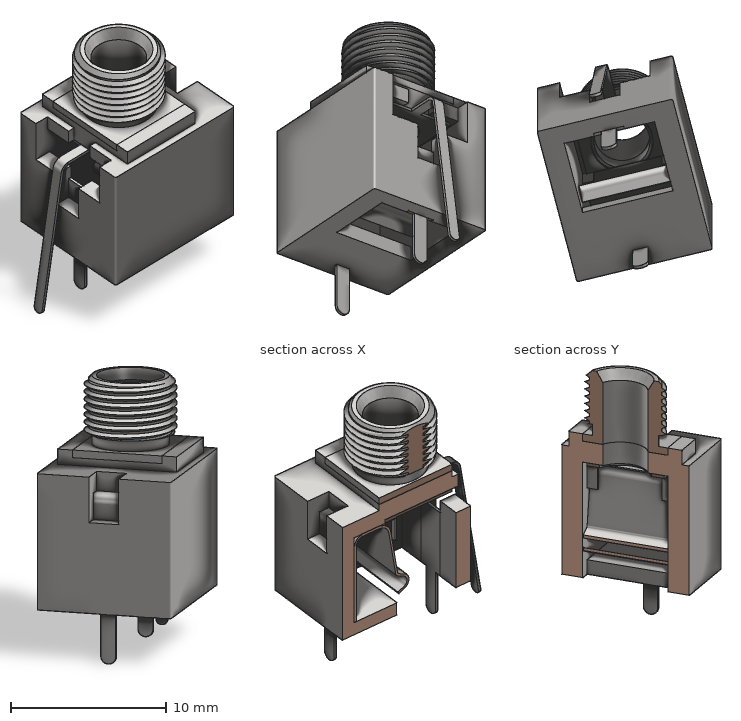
import cadquery as cq
import math


TOTAL_HEIGHT = 18.0

BOX_WIDTH = 9.0
BOX_HEIGHT = 9.0
BOX_FRONT = -4.5
BOX_BACK = 6.0
BOX_EDGE_FILLET = 0.15
FLANGE_WIDTH = 8.0
FLANGE_DEPTH = 6.0
FLANGE_HEIGHT = 1.0
ROOF_THICKNESS = 0.99
FLOOR_THICKNESS = 1.0
FLANGE_FRONT = -FLANGE_DEPTH / 2

BORE_DIAMETER = 3.6
BORE_LIP_WIDTH = 0.4
BORE_LIP_DEPTH = 0.72
PLATE_WIDTH = 6.0
PLATE_THICKNESS = 0.5
NECK_DIAMETER = 5.0
CORE_DIAMETER = 5.4
THREAD_DIAMETER = 6.0
THREAD_PITCH = 0.5
THREAD_BASE_WIDTH = 0.35
THREAD_START_ANGLE = -103.0
THREAD_ROOT_SINK = 0.04
THREAD_OVERRUN = 3 * THREAD_PITCH
THREAD_BOTTOM = 1.75
BUSHING_TOP = 5.5
ENVELOPE_CLEARANCE = 0.09
ENVELOPE_DIAMETER = THREAD_DIAMETER + 2 * ENVELOPE_CLEARANCE
TOP_CHAMFER = (ENVELOPE_DIAMETER - NECK_DIAMETER) / 2

SHEET = 0.2
PIN_WIDTH = 1.0
PIN_TIP = BUSHING_TOP - TOTAL_HEIGHT
LUG_WIDTH = 0.75
LUG_TIP_RADIUS = 0.36
LUG_HOLE_DIAMETER = 4.0
LUG_PLATE_WIDTH = 5.47
LUG_PLATE_BACK = 2.5
LUG_BEND_Y = -4.75
LUG_BEND_RADIUS = 0.7
LUG_BEND_ANGLE = 81.0
SPRING_WIDTH = 5.94
SPRING_TOP = -1.28
SPRING_BACK = 5.0
SPRING_BACK_RADIUS = 0.67
SPRING_FRONT_RADIUS = 1.0
SPRING_FLAT_LENGTH = 1.33
SPRING_DROP_ANGLE = 81.0
SPRING_DROP_LENGTH = 3.5
SPRING_KNEE_RADIUS = 0.36
SPRING_RAMP_ANGLE = 26.0
SPRING_RAMP_LENGTH = 0.49
SPRING_NOSE_RADIUS = 0.54
SPRING_TAIL_LENGTH = 0.54
SWITCH_TOP = -3.96

POCKET_WIDTH = PLATE_WIDTH
POCKET_DEPTH = 1.0
POCKET_BOTTOM = -3.0
SLOT_WIDTH = 2.0
SLOT_BOTTOM = -5.5
POCKET_BACK = BOX_FRONT + POCKET_DEPTH
CAVITY_FRONT = POCKET_BACK + SHEET
CAVITY_BACK = 1.53
WINDOW_WIDTH = 4.54
JAMB_THICKNESS = 0.18
CHAMBER_FRONT = CAVITY_BACK + JAMB_THICKNESS
NOTCH_FRONT = 4.25
FLOOR_TOP = FLOOR_THICKNESS - BOX_HEIGHT


def block(width, y_range, z_range):
    """Box centred on X = 0 between the given Y and Z limits."""
    y_low, y_high = y_range
    z_low, z_high = z_range
    size = (width, y_high - y_low, z_high - z_low)
    return cq.Workplane("XY").box(*size, centered=(True, False, False)).translate((0, y_low, z_low))


def rod(diameter, z_low, z_high):
    """Cylinder on the bore axis between two heights."""
    return cq.Workplane("XY", origin=(0, 0, z_low)).circle(diameter / 2).extrude(z_high - z_low)


def bent_path(start, heading, moves):
    """Path in the YZ plane made of tangent lines and arcs.

    heading is in degrees from +Y toward +Z. A move is (length,) for a straight run, or
    (radius, turn) for an arc, where a positive turn is from +Y toward +Z.
    """
    y, z = start
    edges = []
    for move in moves:
        before = cq.Vector(0, y, z)
        angle = math.radians(heading)
        if len(move) == 1:
            y += move[0] * math.cos(angle)
            z += move[0] * math.sin(angle)
            edges.append(cq.Edge.makeLine(before, cq.Vector(0, y, z)))
        else:
            radius, turn = move
            side = math.copysign(radius, turn)
            centre_y = y - side * math.sin(angle)
            centre_z = z + side * math.cos(angle)
            points = []
            for share in (0.5, 1.0):
                turned = angle + math.radians(turn * share)
                point_y = centre_y + side * math.sin(turned)
                point_z = centre_z - side * math.cos(turned)
                points.append(cq.Vector(0, point_y, point_z))
            edges.append(cq.Edge.makeThreePointArc(before, *points))
            y, z = points[1].y, points[1].z
            heading += turn
    return cq.Wire.assembleEdges(edges)


def bent_strip(width, start, heading, path):
    """Sheet strip of the given width swept along a path in the YZ plane."""
    angle = math.radians(heading)
    plane = cq.Plane(origin=(0, *start), xDir=(1, 0, 0), normal=(0, math.cos(angle), math.sin(angle)))
    return cq.Workplane(plane).rect(width, SHEET).sweep(cq.Workplane(path))


def solder_pin(y_front, z_top):
    """Flat upright pin with a round lower tip; its front face is at y_front."""
    radius = PIN_WIDTH / 2
    shoulder = PIN_TIP + radius
    return (
        cq.Workplane("XZ", origin=(0, y_front, 0))
        .moveTo(-radius, z_top)
        .lineTo(-radius, shoulder)
        .threePointArc((0, PIN_TIP), (radius, shoulder))
        .lineTo(radius, z_top)
        .close()
        .extrude(-SHEET)
    )


def make_housing():
    body = block(BOX_WIDTH, (BOX_FRONT, BOX_BACK), (-BOX_HEIGHT, 0)).edges("|Z").fillet(BOX_EDGE_FILLET)

    flange_depth = (FLANGE_FRONT, -FLANGE_FRONT)
    body = body.union(block(FLANGE_WIDTH, flange_depth, (0, FLANGE_HEIGHT)))
    body = body.cut(block(PLATE_WIDTH, flange_depth, (FLANGE_HEIGHT - PLATE_THICKNESS, FLANGE_HEIGHT)))
    body = body.cut(rod(BORE_DIAMETER, -ROOF_THICKNESS, FLANGE_HEIGHT))

    body = body.cut(block(POCKET_WIDTH, (BOX_FRONT, POCKET_BACK), (POCKET_BOTTOM, 0)))
    body = body.cut(block(SLOT_WIDTH, (BOX_FRONT, POCKET_BACK), (SLOT_BOTTOM, 0)))
    body = body.cut(block(SLOT_WIDTH, (POCKET_BACK, FLANGE_FRONT), (-ROOF_THICKNESS, 0)))

    body = body.cut(block(POCKET_WIDTH, (CAVITY_FRONT, CAVITY_BACK), (-BOX_HEIGHT, -ROOF_THICKNESS)))
    body = body.cut(block(POCKET_WIDTH, (POCKET_BACK, CAVITY_FRONT), (POCKET_BOTTOM, -ROOF_THICKNESS)))
    body = body.cut(block(SLOT_WIDTH, (POCKET_BACK, CAVITY_FRONT), (-BOX_HEIGHT, POCKET_BOTTOM)))

    body = body.cut(block(POCKET_WIDTH, (CHAMBER_FRONT, SPRING_BACK), (FLOOR_TOP, SPRING_TOP)))
    body = body.cut(block(WINDOW_WIDTH, (CAVITY_BACK, CHAMBER_FRONT), (POCKET_BOTTOM, SPRING_TOP)))
    body = body.cut(block(POCKET_WIDTH, (CAVITY_BACK, CHAMBER_FRONT), (FLOOR_TOP, POCKET_BOTTOM)))
    body = body.cut(block(PIN_WIDTH, (SPRING_BACK - SHEET, SPRING_BACK), (-BOX_HEIGHT, FLOOR_TOP)))
    body = body.cut(block(SLOT_WIDTH, (NOTCH_FRONT, BOX_BACK), (POCKET_BOTTOM, 0)))

    lug_seat = (-ROOF_THICKNESS - SHEET, -ROOF_THICKNESS)
    return body.cut(block(LUG_PLATE_WIDTH, (FLANGE_FRONT, LUG_PLATE_BACK), lug_seat))


def make_thread_ridge():
    """Helical ridge, running past the threaded length at both ends."""
    start = THREAD_BOTTOM - THREAD_PITCH
    length = BUSHING_TOP - THREAD_BOTTOM + 2 * THREAD_PITCH
    root_radius = CORE_DIAMETER / 2
    depth = THREAD_DIAMETER / 2 - root_radius
    half_base = THREAD_BASE_WIDTH / 2
    sunk_half_base = half_base * (1 + THREAD_ROOT_SINK / depth)
    path = cq.Wire.makeHelix(THREAD_PITCH, length, root_radius, center=cq.Vector(0, 0, start))
    profile = (
        cq.Workplane("XZ")
        .moveTo(root_radius - THREAD_ROOT_SINK, start - sunk_half_base)
        .lineTo(root_radius + depth, start)
        .lineTo(root_radius - THREAD_ROOT_SINK, start + sunk_half_base)
        .close()
    )
    ridge = profile.sweep(cq.Workplane(path), isFrenet=True)
    return ridge.rotate((0, 0, 0), (0, 0, 1), THREAD_START_ANGLE)


def make_bushing():
    envelope = rod(ENVELOPE_DIAMETER, THREAD_BOTTOM, BUSHING_TOP).faces(">Z").chamfer(TOP_CHAMFER)
    core = rod(CORE_DIAMETER, THREAD_BOTTOM - THREAD_OVERRUN, BUSHING_TOP + THREAD_OVERRUN)
    body = core.union(make_thread_ridge()).intersect(envelope)

    body = body.union(rod(NECK_DIAMETER, FLANGE_HEIGHT, THREAD_BOTTOM))
    plate_depth = (FLANGE_FRONT, -FLANGE_FRONT)
    body = body.union(block(PLATE_WIDTH, plate_depth, (FLANGE_HEIGHT - PLATE_THICKNESS, FLANGE_HEIGHT)))

    bore_radius = BORE_DIAMETER / 2
    body = body.cut(rod(BORE_DIAMETER, FLANGE_HEIGHT - PLATE_THICKNESS, BUSHING_TOP))
    lip_plane = cq.Workplane("XY", origin=(0, 0, BUSHING_TOP - BORE_LIP_DEPTH))
    lip_top = lip_plane.circle(bore_radius).workplane(offset=BORE_LIP_DEPTH)
    lip = lip_top.circle(bore_radius + BORE_LIP_WIDTH).loft()
    return body.cut(lip)


def make_ground_lug():
    plate_top = -ROOF_THICKNESS
    mid_height = plate_top - SHEET / 2
    plate = block(LUG_PLATE_WIDTH, (FLANGE_FRONT, LUG_PLATE_BACK), (plate_top - SHEET, plate_top))
    plate = plate.cut(rod(LUG_HOLE_DIAMETER, plate_top - SHEET, plate_top))

    bend_radius = LUG_BEND_RADIUS - SHEET / 2
    slope = math.radians(LUG_BEND_ANGLE)
    bend_end = mid_height - bend_radius * (1 - math.cos(slope))
    tail_length = (bend_end - PIN_TIP - SHEET / 2 * math.cos(slope)) / math.sin(slope)
    start = (FLANGE_FRONT, mid_height)
    moves = [(FLANGE_FRONT - LUG_BEND_Y,), (bend_radius, LUG_BEND_ANGLE), (tail_length,)]
    path = bent_path(start, 180, moves)
    tail = bent_strip(LUG_WIDTH, start, 180, path)
    thickness_way = cq.Vector(0, math.sin(slope), -math.cos(slope))
    corners = cq.selectors.ParallelDirSelector(thickness_way)
    tail = tail.faces("<Z").edges(corners).fillet(LUG_TIP_RADIUS)
    return plate.union(tail)


def make_tip_spring():
    half = SHEET / 2
    start = (SPRING_BACK - half, FLOOR_TOP)
    leg_length = SPRING_TOP - SPRING_BACK_RADIUS - FLOOR_TOP
    knee_turn = SPRING_DROP_ANGLE - SPRING_RAMP_ANGLE
    nose_turn = 180 - 2 * SPRING_RAMP_ANGLE
    moves = [
        (leg_length,),
        (SPRING_BACK_RADIUS - half, 90),
        (SPRING_FLAT_LENGTH,),
        (SPRING_FRONT_RADIUS - half, SPRING_DROP_ANGLE),
        (SPRING_DROP_LENGTH,),
        (SPRING_KNEE_RADIUS, -knee_turn),
        (SPRING_RAMP_LENGTH,),
        (SPRING_NOSE_RADIUS, nose_turn),
        (SPRING_TAIL_LENGTH,),
    ]
    path = bent_path(start, 90, moves)
    blade = bent_strip(SPRING_WIDTH, start, 90, path)
    return blade.union(solder_pin(SPRING_BACK - SHEET, FLOOR_TOP))


def make_switch_contact():
    blade = block(SLOT_WIDTH, (POCKET_BACK, CAVITY_FRONT), (-BOX_HEIGHT, SWITCH_TOP))
    return blade.union(solder_pin(POCKET_BACK, -BOX_HEIGHT))


housing = make_housing()
bushing = make_bushing()
ground_lug = make_ground_lug()
tip_spring = make_tip_spring()
switch_contact = make_switch_contact()

bodies = [housing, bushing, ground_lug, tip_spring, switch_contact]
result = cq.Compound.makeCompound([body.solids().val() for body in bodies])